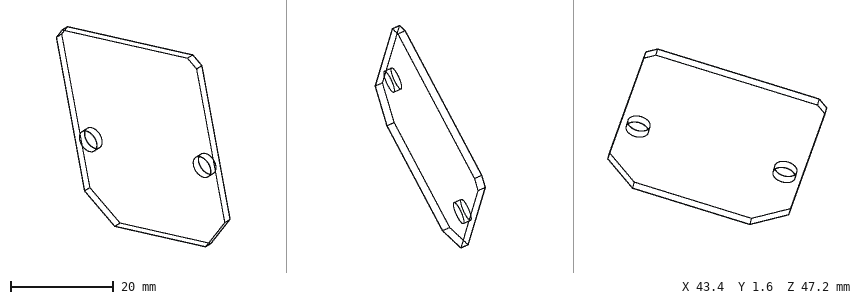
import cadquery as cq

width = 37.0
height = 42.0
thickness = 1.6
tilt = 12.5

top_cut = 2.0
bottom_cut = 6.5

hole_diameter = 4.5
hole_side_inset = 3.5
hole_height = 17.95

half_width = width / 2
half_height = height / 2

outline = [
    (-half_width + bottom_cut, -half_height),
    (half_width - bottom_cut, -half_height),
    (half_width, -half_height + bottom_cut),
    (half_width, half_height - top_cut),
    (half_width - top_cut, half_height),
    (-half_width + top_cut, half_height),
    (-half_width, half_height - top_cut),
    (-half_width, -half_height + bottom_cut),
]

hole_x = half_width - hole_side_inset
hole_z = hole_height - half_height
hole_centers = [(-hole_x, hole_z), (hole_x, hole_z)]

plate = (
    cq.Workplane("XZ", origin=(0, thickness / 2, 0))
    .polyline(outline)
    .close()
    .pushPoints(hole_centers)
    .circle(hole_diameter / 2)
    .extrude(thickness)
)

result = plate.rotate((0, 0, 0), (0, 1, 0), -tilt)